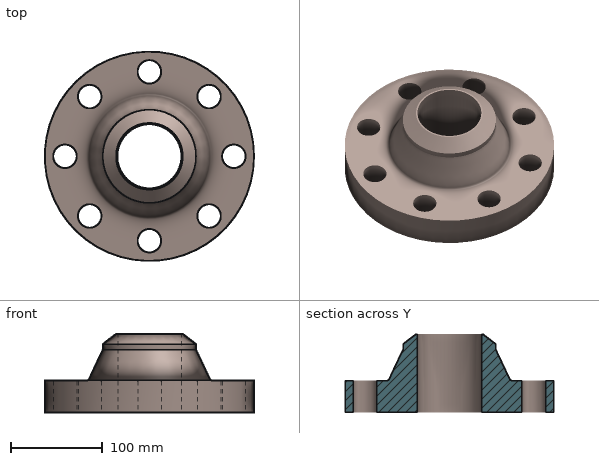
import cadquery as cq
import math

flange_diameter = 228.5
flange_thickness = 35.2
overall_height = 86.0

bolt_count = 8
bolt_circle_diameter = 184.2
bolt_hole_diameter = 25.4

bore_diameter = 69.7
neck_diameter = 101.7
hub_base_diameter = 133.5
hub_fillet_radius = 3.0
neck_band_bottom = 68.8
land_width = 1.5
bevel_angle = 37.5

land_radius = bore_diameter / 2 + land_width
neck_radius = neck_diameter / 2
bevel_height = (neck_radius - land_radius) * math.tan(math.radians(bevel_angle))
neck_band_top = overall_height - bevel_height


def make_flange():
    """Round plate standing on the XY plane."""
    return cq.Workplane("XY").circle(flange_diameter / 2).extrude(flange_thickness)


def make_hub():
    """Tapered hub, short straight neck and weld bevel, revolved about Z."""
    profile = (
        cq.Workplane("XZ")
        .lineTo(hub_base_diameter / 2, 0)
        .lineTo(hub_base_diameter / 2, flange_thickness)
        .lineTo(neck_radius, neck_band_bottom)
        .lineTo(neck_radius, neck_band_top)
        .lineTo(land_radius, overall_height)
        .lineTo(0, overall_height)
        .close()
    )
    return profile.revolve(360, (0, 0, 0), (0, 1, 0))


def round_hub_foot(body):
    """Fillet the inner corner where the hub meets the top of the flange."""
    hub_foot = cq.selectors.RadiusNthSelector(-2)
    return body.edges("%CIRCLE").edges(hub_foot).fillet(hub_fillet_radius)


def cut_bore(body):
    """Pipe bore through the full height."""
    bore = cq.Workplane("XY").circle(bore_diameter / 2).extrude(overall_height)
    return body.cut(bore)


def cut_bolt_holes(body):
    """Evenly spaced bolt holes through the flange, the first on +X."""
    holes = (
        cq.Workplane("XY")
        .polarArray(bolt_circle_diameter / 2, 0, 360, bolt_count)
        .circle(bolt_hole_diameter / 2)
        .extrude(flange_thickness)
    )
    return body.cut(holes)


body = make_flange().union(make_hub())
body = round_hub_foot(body)
body = cut_bore(body)
result = cut_bolt_holes(body)